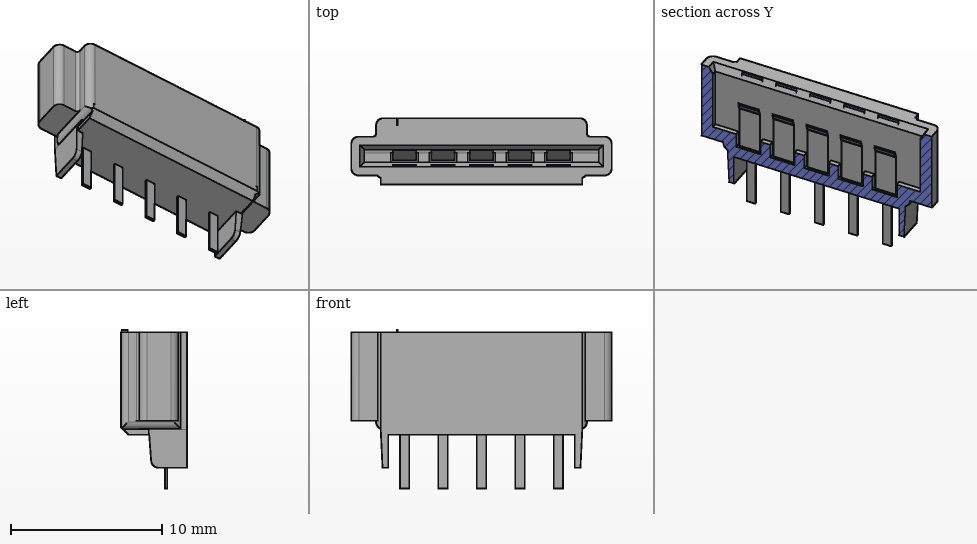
import cadquery as cq
import math


TOTAL_LENGTH = 17.22
TOTAL_DEPTH = 4.39
CORNER_RADIUS = 0.5

CORE_HALF = 6.66

BLOCK_HALF = 6.97
BLOCK_FRONT = 0.4
BLOCK_HEIGHT = 6.4

EAR_FRONT = 0.59
EAR_BACK = 3.17
EAR_HEIGHT = 5.85
EAR_INNER_RADIUS = 0.2

BASE_HEIGHT = 6.78
BACK_CHAMFER = 0.52
LEG_TIP_HALF = 6.55
LEG_INNER_HALF = 6.15
LEG_TOP_DEPTH = 2.55
LEG_TIP_DEPTH = 2.36
LEG_TIP_RADIUS = 0.5
LEG_BOTTOM = 8.95

MOUTH_HALF = 8.02
MOUTH_FRONT = 1.19
MOUTH_BACK = 2.6
FLARE_DEPTH = 0.5
FLARE_INSET = FLARE_DEPTH * math.tan(math.radians(30))
POCKET_HALF = MOUTH_HALF - FLARE_INSET
POCKET_FRONT = MOUTH_FRONT + FLARE_INSET
POCKET_BACK = MOUTH_BACK - FLARE_INSET
POCKET_DEPTH = 4.82
FLOOR_BEVEL_WIDTH = 0.2
FLOOR_BEVEL_RISE = 0.05

CONTACT_COUNT = 5
CONTACT_ROW_LENGTH = 10.16
CONTACT_PITCH = CONTACT_ROW_LENGTH / (CONTACT_COUNT - 1)
CONTACT_WIDTH = 1.53
CAVITY_WIDTH = 1.83
CAVITY_DEPTH = 5.85
SPRING_TOP = 1.0
SPRING_BEND = 2.75
SPRING_BEND_Y = 1.6
SPRING_TIP_Y = 2.32
SPRING_THICKNESS = 0.07
SLIT_Y = 1.25
SLIT_WIDTH = 0.07
SLIT_DEPTH = 1.03

PIN_WIDTH = 0.64
PIN_THICKNESS = 0.15
PIN_Y = 1.4
PIN_BOTTOM = 10.33

MARK_X = -5.56
MARK_WIDTH = 0.09
MARK_FRONT = 3.93
MARK_BACK = 4.34
MARK_HEIGHT = 0.15

contact_positions = [(i - (CONTACT_COUNT - 1) / 2) * CONTACT_PITCH for i in range(CONTACT_COUNT)]


def box(x_min, x_max, y_min, y_max, z_min, z_max):
    """Box given by its limits along each axis."""
    size = (x_max - x_min, y_max - y_min, z_max - z_min)
    return cq.Workplane("XY").box(*size, centered=False).translate((x_min, y_min, z_min))


def side_extrusion(points, x_center, width):
    """Y-Z outline extruded along X, centred on x_center."""
    outline = cq.Workplane("YZ", origin=(x_center, 0, 0)).polyline(points).close()
    return outline.extrude(width / 2, both=True)


def make_block():
    """Main block: rounded plan crossed with an outline rounded at its lower corners."""
    plan = box(-BLOCK_HALF, BLOCK_HALF, BLOCK_FRONT, TOTAL_DEPTH, -BLOCK_HEIGHT, 0)
    plan = plan.edges("|Z").fillet(CORNER_RADIUS)
    outline = box(-BLOCK_HALF, BLOCK_HALF, BLOCK_FRONT, TOTAL_DEPTH, -BLOCK_HEIGHT, 0)
    outline = outline.faces("<Z").edges("|Y").fillet(CORNER_RADIUS)
    return plan.intersect(outline)


def make_housing():
    """Block, ears, core and base plate, without openings."""
    ears = box(-TOTAL_LENGTH / 2, TOTAL_LENGTH / 2, EAR_FRONT, EAR_BACK, -EAR_HEIGHT, 0)
    ears = ears.edges("|Z").fillet(CORNER_RADIUS)
    housing = make_block().union(ears)
    for x in (-BLOCK_HALF, BLOCK_HALF):
        corner = cq.selectors.NearestToPointSelector((x, EAR_BACK, -EAR_HEIGHT / 2))
        housing = housing.edges(corner).fillet(EAR_INNER_RADIUS)

    core = box(-CORE_HALF, CORE_HALF, 0, EAR_BACK, -BLOCK_HEIGHT, 0)
    base = box(-LEG_TIP_HALF, LEG_TIP_HALF, 0, TOTAL_DEPTH, -BASE_HEIGHT, -EAR_HEIGHT)
    housing = housing.union(core).union(base)

    chamfer_outline = [
        (TOTAL_DEPTH, -BASE_HEIGHT),
        (TOTAL_DEPTH, -BASE_HEIGHT + BACK_CHAMFER),
        (TOTAL_DEPTH - BACK_CHAMFER, -BASE_HEIGHT),
    ]
    return housing.cut(side_extrusion(chamfer_outline, 0, TOTAL_LENGTH))


def make_legs():
    """Pair of legs, tapered on their outer and rear sides."""
    side_outline = [
        (0, -BLOCK_HEIGHT),
        (LEG_TOP_DEPTH, -BLOCK_HEIGHT),
        (LEG_TIP_DEPTH, -LEG_BOTTOM),
        (0, -LEG_BOTTOM),
    ]
    profile = side_extrusion(side_outline, 0, TOTAL_LENGTH)
    profile = profile.faces("<Z").edges(">Y").fillet(LEG_TIP_RADIUS)
    front_outline = [
        (LEG_INNER_HALF, -BLOCK_HEIGHT),
        (CORE_HALF, -BLOCK_HEIGHT),
        (LEG_TIP_HALF, -LEG_BOTTOM),
        (LEG_INNER_HALF, -LEG_BOTTOM),
    ]
    taper = cq.Workplane("XZ").polyline(front_outline).close().extrude(-TOTAL_DEPTH)
    leg = taper.intersect(profile)
    return leg.union(leg.mirror("YZ"))


def make_card_slot():
    """Flared mouth and straight pocket, with a shallow bevel along the rear of the floor."""
    middle_y = (MOUTH_FRONT + MOUTH_BACK) / 2
    flare = (
        cq.Workplane("XY")
        .center(0, middle_y)
        .rect(2 * MOUTH_HALF, MOUTH_BACK - MOUTH_FRONT)
        .workplane(offset=-FLARE_DEPTH)
        .rect(2 * POCKET_HALF, POCKET_BACK - POCKET_FRONT)
        .loft(ruled=True)
    )
    pocket = box(-POCKET_HALF, POCKET_HALF, POCKET_FRONT, POCKET_BACK, -POCKET_DEPTH, -FLARE_DEPTH)
    pocket = pocket.faces("<Z").edges(">Y").chamfer(FLOOR_BEVEL_RISE, FLOOR_BEVEL_WIDTH)
    return flare.union(pocket)


def make_cavity(x):
    """Contact cavity below the pocket floor, and the thin slit in the front lip."""
    half = CAVITY_WIDTH / 2
    cavity_back = POCKET_BACK - FLOOR_BEVEL_WIDTH
    cavity = box(x - half, x + half, POCKET_FRONT, cavity_back, -CAVITY_DEPTH, -POCKET_DEPTH)
    slit_half = CONTACT_WIDTH / 2
    slit_front = SLIT_Y - SLIT_WIDTH / 2
    slit = box(x - slit_half, x + slit_half, slit_front, slit_front + SLIT_WIDTH, -SLIT_DEPTH, 0)
    return cavity.union(slit)


def make_contact(x):
    """Spring blade leaning back from its root, with a solder pin under the housing."""
    spring_outline = [
        (SPRING_BEND_Y, -CAVITY_DEPTH),
        (SPRING_BEND_Y, -SPRING_BEND),
        (SPRING_TIP_Y - SPRING_THICKNESS, -SPRING_TOP),
        (SPRING_TIP_Y, -SPRING_TOP),
        (SPRING_BEND_Y + SPRING_THICKNESS, -SPRING_BEND),
        (SPRING_BEND_Y + SPRING_THICKNESS, -CAVITY_DEPTH),
    ]
    spring = side_extrusion(spring_outline, x, CONTACT_WIDTH)
    pin = cq.Workplane("XY", origin=(x, PIN_Y, -PIN_BOTTOM)).rect(PIN_WIDTH, PIN_THICKNESS)
    return spring, pin.extrude(PIN_BOTTOM - BASE_HEIGHT)


result = make_housing().union(make_legs()).cut(make_card_slot())
for contact_x in contact_positions:
    result = result.cut(make_cavity(contact_x))
    for piece in make_contact(contact_x):
        result = result.union(piece)

mark = box(MARK_X - MARK_WIDTH / 2, MARK_X + MARK_WIDTH / 2, MARK_FRONT, MARK_BACK, 0, MARK_HEIGHT)
result = result.union(mark)